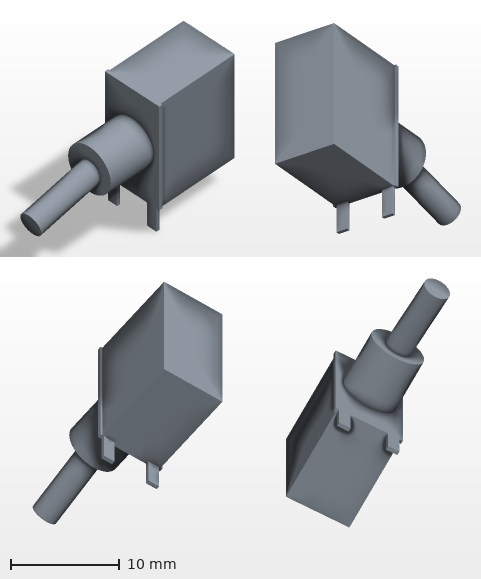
import cadquery as cq
import math

overall_depth = 23.6

housing_width = 6.6
housing_exposed_depth = 9.68
recess_depth = 0.1
housing_height = 12.7

plate_width = 7.0
plate_thickness = 0.4
leg_width = 1.2
leg_length = 2.83
leg_pitch = 5.07

bushing_diameter = 5.5
bushing_length = 5.57

lever_diameter = 2.67
lever_tilt = 12.0
pivot_depth = 1.68

tilt = math.radians(lever_tilt)
pivot_y = pivot_depth - bushing_length
lever_reach = overall_depth - housing_exposed_depth - plate_thickness + pivot_y
lever_length = (lever_reach - lever_diameter / 2 * math.sin(tilt)) / math.cos(tilt)


def make_housing():
    depth = housing_exposed_depth + recess_depth
    center_y = plate_thickness - recess_depth + depth / 2
    return cq.Workplane("XY").box(housing_width, depth, housing_height).translate((0, center_y, 0))


def make_plate():
    plate = cq.Workplane("XY").box(plate_width, plate_thickness, housing_height)
    for side in (-1, 1):
        leg = cq.Workplane("XY").box(leg_width, plate_thickness, leg_length)
        leg_z = -(housing_height + leg_length) / 2
        plate = plate.union(leg.translate((side * leg_pitch / 2, 0, leg_z)))
    return plate.translate((0, plate_thickness / 2, 0))


def make_bushing():
    return cq.Workplane("XZ").circle(bushing_diameter / 2).extrude(bushing_length)


def make_lever():
    pivot = cq.Vector(0, pivot_y, 0)
    direction = cq.Vector(0, -math.cos(tilt), -math.sin(tilt))
    return cq.Workplane(cq.Solid.makeCylinder(lever_diameter / 2, lever_length, pivot, direction))


housing = make_housing()
actuator_frame = make_plate().cut(housing).union(make_bushing()).union(make_lever())

result = cq.Compound.makeCompound([housing.val(), actuator_frame.val()])